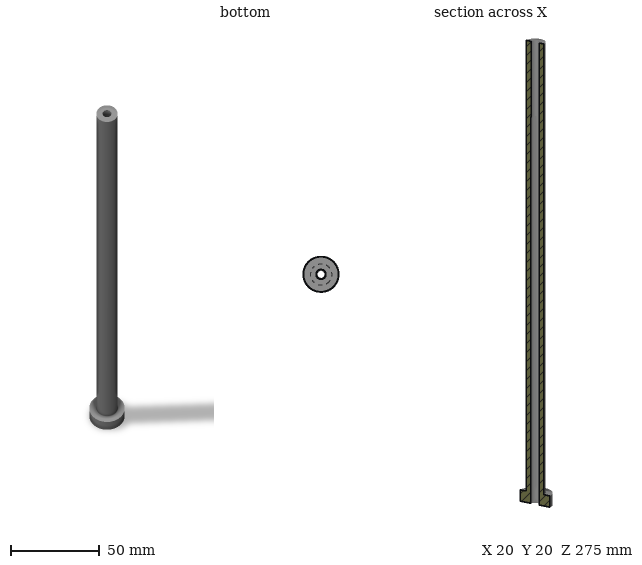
import cadquery as cq

total_length = 275.0
head_diameter = 20.0
head_height = 7.0
shank_diameter = 12.0
neck_fillet_radius = 0.5

guide_bore_diameter = 5.0
guide_bore_length = 45.0
clearance_bore_diameter = 5.5


def make_headed_shank():
    """Round head at Z = 0 with a shank rising from it, blended by a neck fillet."""
    head_radius = head_diameter / 2
    shank_radius = shank_diameter / 2
    fillet_outer_radius = shank_radius + neck_fillet_radius
    fillet_top = head_height + neck_fillet_radius
    half_profile = (
        cq.Workplane("XZ")
        .lineTo(head_radius, 0)
        .lineTo(head_radius, head_height)
        .lineTo(fillet_outer_radius, head_height)
        .radiusArc((shank_radius, fillet_top), neck_fillet_radius)
        .lineTo(shank_radius, total_length)
        .lineTo(0, total_length)
        .close()
    )
    return half_profile.revolve(360, (0, 0), (0, 1))


def make_stepped_bore():
    """Guide bore along the full axis, widened from the head face up to the guide length."""
    clearance_length = total_length - guide_bore_length
    guide_bore = cq.Workplane("XY").circle(guide_bore_diameter / 2).extrude(total_length)
    clearance_bore = cq.Workplane("XY").circle(clearance_bore_diameter / 2).extrude(clearance_length)
    return guide_bore.union(clearance_bore)


result = make_headed_shank().cut(make_stepped_bore())